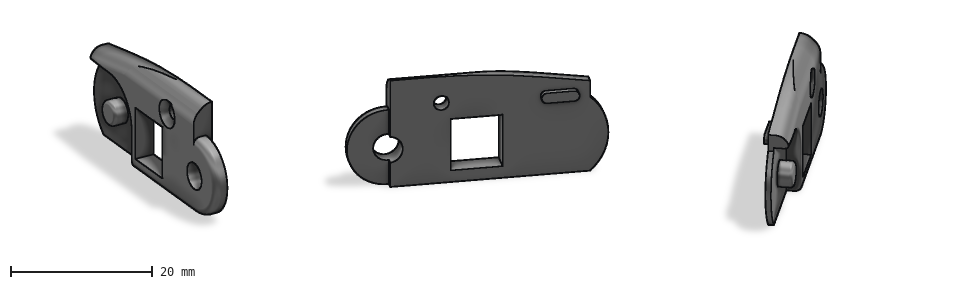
import cadquery as cq
import math

LENGTH = 37.38
THICKNESS = 3.03
BODY_LEFT = 2.6
BODY_RIGHT = 31.35
OVERLAP = 3.75
TOLERANCE = 0.005

LUG_RADIUS = 5.8
LUG_X = LENGTH - LUG_RADIUS
AXIS_Z = LUG_RADIUS
LUG_BACK = 1.0
LUG_HOLE_RADIUS = 2.0
EDGE_RADIUS = 1.0

DISC_RADIUS = 7.6
DISC_X = DISC_RADIUS
DISC_THICKNESS = 0.82
POCKET_RADIUS = 6.28
POCKET_EDGE_RADIUS = 0.5
PIN_RADIUS = 1.9
PIN_EDGE_RADIUS = 0.52

TOP_Z = 16.6
LEFT_TOP_Z = 14.05
ARC_START_X = 9.42
ARC_START_Z = 15.2
ARC_END_X = 26.0
TOP_EDGE_RADIUS = 2.0
SHOULDER_Z = 13.6

SHOULDER_MID_DEPTH = 2.85
SHOULDER_MID_Z = 14.55
BEVEL_LOW_DEPTH = 2.35
BEVEL_LOW_Z = 15.33
BEVEL_HIGH_DEPTH = 1.8
BEVEL_HIGH_Z = 15.85
CROWN_MID_DEPTH = 0.95
CROWN_MID_Z = 16.4

WINDOW_LEFT = 15.2
WINDOW_RIGHT = 22.65
WINDOW_BOTTOM = 1.85
WINDOW_TOP = 9.83
SCREW_X = 24.0
SCREW_Z = 12.45
SCREW_RADIUS = 1.1
SINK_RADIUS = 2.13
SINK_ANGLE = 90.0

PAD_X = 7.03
PAD_Z = 12.25
PAD_LENGTH = 5.45
PAD_WIDTH = 1.57
PAD_HEIGHT = 0.85


def front_plane(depth=0.0):
    """XZ sketch plane at the given depth; extruding goes toward the front."""
    return cq.Workplane("XZ", origin=(0, -depth, 0))


def make_body():
    """Main block with a crowned, rounded top and a rounded lower edge."""
    block = (
        front_plane()
        .moveTo(BODY_LEFT, 0)
        .lineTo(BODY_LEFT, LEFT_TOP_Z)
        .lineTo(ARC_START_X, ARC_START_Z)
        .tangentArcPoint((ARC_END_X, TOP_Z), relative=False)
        .lineTo(BODY_RIGHT, TOP_Z)
        .lineTo(BODY_RIGHT, 0)
        .close()
        .extrude(THICKNESS)
    )
    front_edges = block.faces("<Y").edges()
    top_edges = front_edges.filter(lambda e: e.Center().z > LEFT_TOP_Z)
    block = top_edges.fillet(TOP_EDGE_RADIUS)
    block = block.faces("<Y").edges("<Z").fillet(EDGE_RADIUS)
    return block.intersect(make_shoulder_envelope())


def make_shoulder_envelope():
    """Constant section along X that trims the front of the crowned top."""
    return (
        cq.Workplane("YZ", origin=(BODY_LEFT, 0, 0))
        .moveTo(0, 0)
        .lineTo(0, TOP_Z)
        .threePointArc((-CROWN_MID_DEPTH, CROWN_MID_Z), (-BEVEL_HIGH_DEPTH, BEVEL_HIGH_Z))
        .lineTo(-BEVEL_LOW_DEPTH, BEVEL_LOW_Z)
        .threePointArc((-SHOULDER_MID_DEPTH, SHOULDER_MID_Z), (-THICKNESS, SHOULDER_Z))
        .lineTo(-THICKNESS, 0)
        .close()
        .extrude(BODY_RIGHT - BODY_LEFT)
    )


def make_lug():
    """Round-ended lug, set forward of the back face and rounded in front."""
    lug_left = BODY_RIGHT - OVERLAP
    lug = (
        front_plane(LUG_BACK)
        .moveTo(lug_left, 0)
        .lineTo(LUG_X, 0)
        .threePointArc((LENGTH, AXIS_Z), (LUG_X, 2 * LUG_RADIUS))
        .lineTo(lug_left, 2 * LUG_RADIUS)
        .close()
        .extrude(THICKNESS - LUG_BACK)
    )
    return lug.faces("<Y").edges("not <X").fillet(EDGE_RADIUS)


def cut_pocket(body):
    """Clear the lower left of the body in front of the disc and round the rim."""
    pocket_right = DISC_X + POCKET_RADIUS
    pocket_top = AXIS_Z + POCKET_RADIUS
    diagonal = POCKET_RADIUS * math.sqrt(0.5)
    pocket = (
        front_plane(DISC_THICKNESS)
        .moveTo(-OVERLAP, -OVERLAP)
        .lineTo(pocket_right, -OVERLAP)
        .lineTo(pocket_right, AXIS_Z)
        .threePointArc((DISC_X + diagonal, AXIS_Z + diagonal), (DISC_X, pocket_top))
        .lineTo(-OVERLAP, pocket_top)
        .close()
        .extrude(THICKNESS)
    )
    body = body.cut(pocket)

    def on_pocket_rim(edge):
        box = edge.BoundingBox()
        beside_pocket = box.xmax < pocket_right + TOLERANCE and box.zmax < pocket_top + TOLERANCE
        at_front = box.ymax < EDGE_RADIUS - THICKNESS + TOLERANCE
        on_left_end = box.xmin < BODY_LEFT + TOLERANCE
        return beside_pocket and at_front and not on_left_end

    return body.edges().filter(on_pocket_rim).fillet(POCKET_EDGE_RADIUS)


def make_disc():
    """Thin disc at the left, trimmed level with the bottom of the body."""
    disc = front_plane().center(DISC_X, AXIS_Z).circle(DISC_RADIUS).extrude(DISC_THICKNESS)
    trim_box = cq.Workplane("XY").box(
        2 * DISC_RADIUS, 2 * THICKNESS, AXIS_Z + DISC_RADIUS, centered=(False, True, False)
    )
    return disc.intersect(trim_box)


def make_pin():
    """Round pin rising from the disc to the front face."""
    pin = front_plane().center(DISC_X, AXIS_Z).circle(PIN_RADIUS).extrude(THICKNESS)
    return pin.faces("<Y").edges().fillet(PIN_EDGE_RADIUS)


def make_pad():
    """Oblong pad standing on the back face."""
    return front_plane().center(PAD_X, PAD_Z).slot2D(PAD_LENGTH, PAD_WIDTH).extrude(-PAD_HEIGHT)


def cut_openings(part):
    """Rectangular window, lug hole and countersunk screw hole."""
    window = (
        front_plane()
        .moveTo(WINDOW_LEFT, WINDOW_BOTTOM)
        .lineTo(WINDOW_RIGHT, WINDOW_BOTTOM)
        .lineTo(WINDOW_RIGHT, WINDOW_TOP)
        .lineTo(WINDOW_LEFT, WINDOW_TOP)
        .close()
        .extrude(THICKNESS)
    )
    lug_hole = front_plane().center(LUG_X, AXIS_Z).circle(LUG_HOLE_RADIUS).extrude(THICKNESS)
    part = part.cut(window).cut(lug_hole)
    screw_plane = cq.Plane(origin=(SCREW_X, -THICKNESS, SCREW_Z), xDir=(1, 0, 0), normal=(0, -1, 0))
    screw_site = part.copyWorkplane(cq.Workplane(screw_plane)).pushPoints([(0, 0)])
    return screw_site.cskHole(2 * SCREW_RADIUS, 2 * SINK_RADIUS, SINK_ANGLE)


body = cut_pocket(make_body().union(make_lug()))
result = body.union(make_disc()).union(make_pin()).union(make_pad())
result = cut_openings(result)